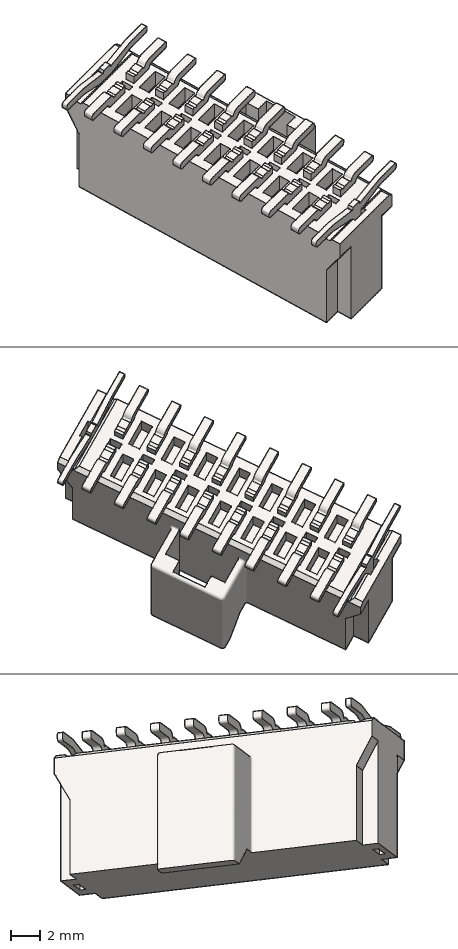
import cadquery as cq

length = 23.23
depth = 5.95
height = 8.69
top_chamfer_run = 0.35
top_chamfer_drop = 0.28

relief_width = 1.14
relief_shoulder = 5.32
relief_top = 7.3
front_relief_depth = 1.28
back_relief_depth = 1.15

contact_count = 8
contact_row = 17.5
pitch = contact_row / (contact_count - 1)
contact_width = 0.65
lead_top = 9.69
lead_thickness = 0.63
lead_bottom = lead_top - lead_thickness
tip_round = 0.2
bend_round = 0.42
pad_top = 9.36
valley_drop = 0.1
stem_depth = 0.7

contact_tip = 7.22
bend_start = 5.25
bend_end = 4.76
pad_back = 4.55
pad_front = 3.95
rim_back = 3.7
contact_end = 3.48
stem_back = 5.2

pocket_width = 0.84
web_pocket_width = 0.85
back_pocket = (3.44, 5.25)
front_pocket = (0.7, 2.58)
web_pocket = (2.8, 3.2)
pocket_depth = 1.4

tab_x = 10.55
tab_width = 0.4
tab_front = -1.55
tab_back = 7.6
tab_middle = (tab_front + tab_back) / 2
tab_top_bend = 2.65
tab_bottom_bend = 2.67
tab_slope_end = 0.49
tab_slope_drop = 0.45
tab_bump_half = 0.35
tab_bump_top = 9.45
tab_notch_drop = 0.05
tab_flat_half = 0.7
tab_bend_round = 1.85
groove_top_width = 0.84
groove_depth = 0.23
slot_front = 2.37
slot_back = 3.58
slot_outer_x = 11.15

loop_width = 5.67
loop_back = 9.2
loop_top = 6.88
loop_bottom = -1.46
loop_lip_front = 8.25
loop_ramp_start = 6.83
loop_arm = 0.55
loop_bar_front = 7.97
loop_round = 0.23
loop_root_round = 0.16
arm_inner_chamfer = 0.16
notch_width = 2.45
notch_back = 8.9
notch_floor = -0.19

reach = 0.02


def block(x_range, y_range, z_range):
    """Axis-aligned box between pairs of limits."""
    size = [end - start for start, end in (x_range, y_range, z_range)]
    corner = (x_range[0], y_range[0], z_range[0])
    return cq.Workplane("XY").box(*size, centered=False).translate(corner)


def slab(profile, x_center, width):
    """Extrude a closed (Y, Z) outline along X, centred on x_center."""
    outline = cq.Workplane("YZ").polyline(profile).close()
    return outline.extrude(width / 2, both=True).translate((x_center, 0, 0))


def round_along_x(solid, y, z, radius):
    """Fillet the X-direction edge that passes through (y, z)."""
    box = cq.selectors.BoxSelector((-length, y - reach, z - reach), (length, y + reach, z + reach))
    return solid.edges("|X").edges(box).fillet(radius)


def mirrored_pair(solid):
    return solid.union(solid.mirror("YZ"))


def make_housing():
    profile = [
        (0, 0),
        (depth, 0),
        (depth, height - top_chamfer_drop),
        (depth - top_chamfer_run, height),
        (0, height),
    ]
    return slab(profile, 0, length)


def make_corner_reliefs():
    half = length / 2
    outline = cq.Workplane("XZ").polyline([
        (-half, 0),
        (-half + relief_width, 0),
        (-half + relief_width, relief_shoulder),
        (-half, relief_top),
    ]).close()
    through = outline.extrude(-depth)
    ridge = block((-half, 0), (front_relief_depth, depth - back_relief_depth), (0, height))
    return mirrored_pair(through.cut(ridge))


def make_tab_grooves():
    """V-sided grooves under the tabs and the through slots beside them."""
    half_top = groove_top_width / 2
    half_floor = tab_width / 2
    groove = (
        cq.Workplane("XZ")
        .polyline([
            (-tab_x - half_top, height),
            (-tab_x - half_floor, height - groove_depth),
            (-tab_x + half_floor, height - groove_depth),
            (-tab_x + half_top, height),
        ])
        .close()
        .extrude(-depth)
    )
    slot = block((-slot_outer_x, -tab_x - half_floor), (slot_front, slot_back), (0, height))
    return mirrored_pair(groove.union(slot))


def make_tab():
    ramp_z = lead_top - tab_slope_drop
    notch_y = (tab_slope_end + tab_bump_half) / 2
    half_outline = [
        (tab_flat_half, height - groove_depth),
        (tab_bottom_bend, lead_bottom),
        (tab_back - tab_middle, lead_bottom),
        (tab_back - tab_middle, lead_top),
        (tab_top_bend, lead_top),
        (tab_slope_end, ramp_z),
        (notch_y, ramp_z - tab_notch_drop),
        (tab_bump_half, tab_bump_top),
    ]
    right = [(tab_middle + y, z) for y, z in half_outline]
    left = [(tab_middle - y, z) for y, z in reversed(half_outline)]
    tab = slab(right + left, -tab_x, tab_width)
    for side in (-1, 1):
        tip_y = tab_middle + side * (tab_back - tab_middle)
        tab = round_along_x(tab, tip_y, lead_top, tip_round)
        tab = round_along_x(tab, tip_y, lead_bottom, tip_round)
        tab = round_along_x(tab, tab_middle + side * tab_top_bend, lead_top, tab_bend_round)
        tab = round_along_x(tab, tab_middle + side * tab_bottom_bend, lead_bottom, tab_bend_round)
    return tab


def make_back_contact():
    """One back-row terminal at X = 0: a flat tail bent down to a coined pad over the stem."""
    valley_z = pad_top - valley_drop
    stem_bottom = height - stem_depth
    outline = (
        cq.Workplane("YZ")
        .moveTo(contact_tip, lead_bottom)
        .lineTo(contact_tip, lead_top)
        .lineTo(bend_start, lead_top)
        .tangentArcPoint((bend_end, pad_top), relative=False)
        .threePointArc(((bend_end + pad_back) / 2, valley_z), (pad_back, pad_top))
        .lineTo(pad_front, pad_top)
        .threePointArc(((pad_front + rim_back) / 2, valley_z), (rim_back, pad_top))
        .lineTo(contact_end, pad_top)
        .lineTo(contact_end, stem_bottom)
        .lineTo(stem_back, stem_bottom)
        .lineTo(stem_back, lead_bottom)
        .close()
    )
    contact = outline.extrude(contact_width / 2, both=True)
    contact = round_along_x(contact, contact_tip, lead_top, tip_round)
    contact = round_along_x(contact, contact_tip, lead_bottom, tip_round)
    return round_along_x(contact, stem_back, lead_bottom, bend_round)


def make_loop():
    half = loop_width / 2
    profile = [
        (depth, 0),
        (loop_ramp_start, 0),
        (loop_lip_front, loop_bottom),
        (loop_back, loop_bottom),
        (loop_back, loop_top),
        (depth, loop_top),
    ]
    loop = slab(profile, 0, loop_width)
    outer_edges = "(>Y and |Z) or (>Z and |Y) or (>Z and >Y)"
    loop = loop.edges(outer_edges).fillet(loop_round)
    opening = half - loop_arm
    loop = loop.cut(block((-opening, opening), (depth, loop_bar_front), (loop_bottom, loop_top)))
    notch_half = notch_width / 2
    loop = loop.cut(
        block((-notch_half, notch_half), (loop_bar_front, notch_back), (notch_floor, loop_top))
    )
    ramp_box = cq.selectors.BoxSelector(
        (-opening - reach, loop_ramp_start, loop_bottom),
        (opening + reach, loop_bar_front, -reach),
    )
    return loop.edges("not(|X or |Y or |Z)").edges(ramp_box).chamfer(arm_inner_chamfer)


def round_loop_roots(body):
    """Fillet the outer side and top of each arm where it meets the housing."""
    opening = loop_width / 2 - loop_arm
    for near, far in ((opening, loop_width / 2), (-loop_width / 2, -opening)):
        box = cq.selectors.BoxSelector(
            (near - reach, depth - reach, reach),
            (far + reach, depth + reach, loop_top + reach),
        )
        outer_edges = body.edges(box).edges("not |Z").vals()
        side = body.edges(box).edges("|Z").edges(">X" if near > 0 else "<X").vals()
        body = body.newObject(outer_edges + side).fillet(loop_root_round)
    return body


def top_pocket(x_center, width, y_range):
    """Blind rectangular pocket sunk into the top face."""
    x_range = (x_center - width / 2, x_center + width / 2)
    return block(x_range, y_range, (height - pocket_depth, height))


contact_places = [index * pitch - contact_row / 2 for index in range(contact_count)]

result = make_housing().cut(make_corner_reliefs()).cut(make_tab_grooves())
for contact_x in contact_places:
    result = result.cut(top_pocket(contact_x, web_pocket_width, web_pocket))
for contact_x in contact_places[:-1]:
    for y_range in (back_pocket, front_pocket):
        result = result.cut(top_pocket(contact_x + pitch / 2, pocket_width, y_range))
result = round_loop_roots(result.union(make_loop()))

back_contact = make_back_contact()
front_contact = back_contact.mirror("XZ", (0, depth / 2, 0))
for contact_x in contact_places:
    for contact in (back_contact, front_contact):
        result = result.union(contact.translate((contact_x, 0, 0)))
result = result.union(mirrored_pair(make_tab()))